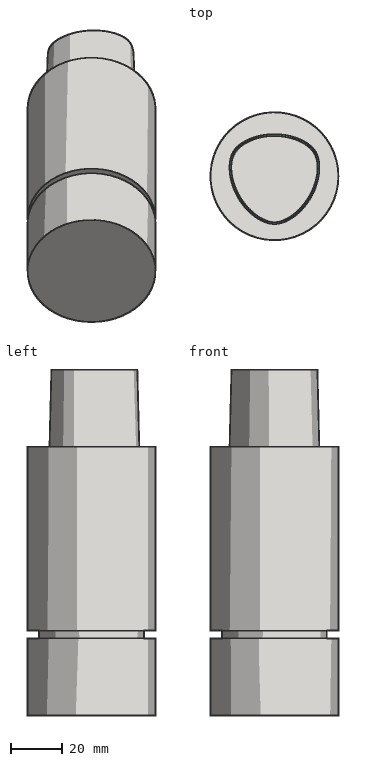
import cadquery as cq
import math

body_diameter = 50.0
total_height = 135.0
shank_length = 30.0
shoulder_height = total_height - shank_length

neck_diameter = 41.0
neck_width = 3.0
base_height = 30.2
neck_top = base_height + neck_width

shank_gauge_width = 35.0
gauge_distance = 2.5
taper_ratio = 1 / 20
shank_root_width = shank_gauge_width + gauge_distance * taper_ratio
shank_tip_width = shank_root_width - shank_length * taper_ratio
lobe_height = 1.12
curve_steps = 48


def cylinder(diameter, bottom, top):
    """Upright cylinder on the Z axis."""
    return cq.Workplane("XY").workplane(offset=bottom).circle(diameter / 2).extrude(top - bottom)


def lobed_point(width, angle):
    """Point of a three-lobed curve of constant width, with one lobe toward -Y."""
    radius = width / 2
    along = radius * math.cos(angle) + lobe_height * (2 * math.cos(2 * angle) - math.cos(4 * angle))
    across = radius * math.sin(angle) - lobe_height * (2 * math.sin(2 * angle) + math.sin(4 * angle))
    return (across, -along)


def lobed_wire(width, height):
    """Closed three-lobed outline at the given height."""
    points = [lobed_point(width, 2 * math.pi * step / curve_steps) for step in range(curve_steps)]
    outline = cq.Workplane("XY").workplane(offset=height).spline(points, periodic=True)
    return cq.Wire.assembleEdges(outline.vals())


def make_shank():
    """Tapered polygon shank, widest at the shoulder."""
    root = lobed_wire(shank_root_width, shoulder_height)
    tip = lobed_wire(shank_tip_width, total_height)
    return cq.Workplane(cq.Solid.makeLoft([root, tip], True))


def make_holder():
    """Cylindrical holder with the polygon shank above and the narrow neck below."""
    barrel = cylinder(body_diameter, neck_top, shoulder_height)
    neck = cylinder(neck_diameter, base_height, neck_top)
    return barrel.union(neck).union(make_shank())


def make_base():
    """Plain cylindrical base that carries the neck of the holder."""
    return cylinder(body_diameter, 0, base_height)


holder = make_holder().solids()
base = make_base()

result = cq.Compound.makeCompound([holder.val(), base.val()])